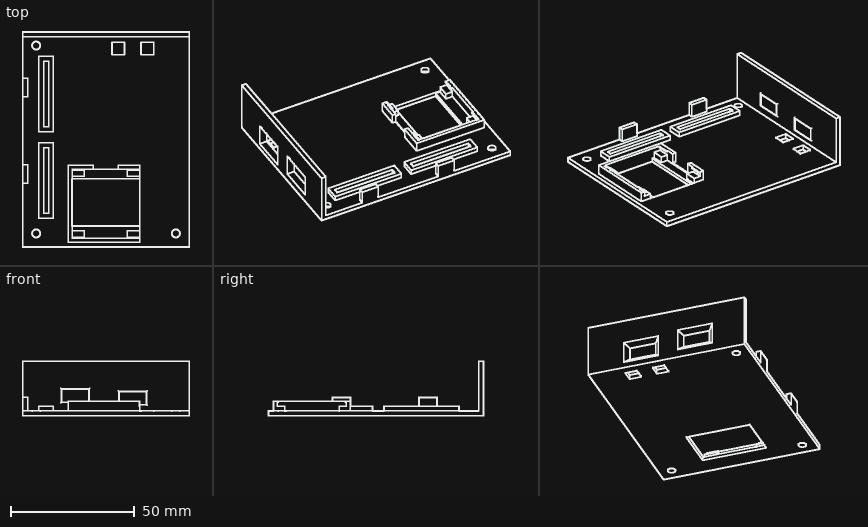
import cadquery as cq

PLATE_X = 67.5
PLATE_Y = 87.0
TOTAL_HEIGHT = 22.2
PLATE_THICKNESS = 2.0

WALL_THICKNESS = 2.0
WINDOW_WIDTH = 11.0
WINDOW_HEIGHT = 5.2
WINDOW_FLARE = WALL_THICKNESS
WINDOW_CORNERS = [(15.85, 5.6), (39.1, 4.6)]

SCREW_HOLE_DIAMETER = 3.2
SCREW_HOLE_INSET = 5.5
SQUARE_HOLE_SIZE = 5.0
SQUARE_HOLE_LEFT_EDGES = [36.2, 48.0]
SQUARE_HOLE_FRONT = 77.8

CONNECTOR_FRONT_EDGES = [11.65, 46.65]
CONNECTOR_LEFT = 6.5
CONNECTOR_WIDTH = 6.0
CONNECTOR_LENGTH = 30.5
CONNECTOR_HEIGHT = 2.0
CONNECTOR_RIM = 2.0
TAB_THICKNESS = 2.0
TAB_LENGTH = 7.4
TAB_HEIGHT = 5.5
TAB_OFFSET = 14.2

POCKET_LEFT = 20.0
POCKET_FRONT = 3.55
POCKET_WIDTH = 27.4
POCKET_LENGTH = 28.0
POCKET_DEPTH = 0.5
FRAME_THICKNESS = 1.6
FRAME_HEIGHT = 4.0
FRAME_GAP = 10.2
FRONT_LEDGE = 5.0
REAR_LEDGE = 4.0

SUPPORT_WIDTH = 5.0
SUPPORT_REACH = 3.0
SUPPORT_HEIGHT = 2.0
LIP_REACH = 0.5
LIP_HEIGHT = 0.4


def box(x, y, z, size_x, size_y, size_z):
    """Axis-aligned box given by its lower front left corner and its size."""
    return cq.Workplane("XY").box(size_x, size_y, size_z, centered=False).translate((x, y, z))


def make_plate():
    plate = box(0, 0, 0, PLATE_X, PLATE_Y, PLATE_THICKNESS)
    left = SCREW_HOLE_INSET
    right = PLATE_X - SCREW_HOLE_INSET
    front = SCREW_HOLE_INSET
    rear = PLATE_Y - SCREW_HOLE_INSET
    screw_holes = (
        cq.Workplane("XY")
        .pushPoints([(left, front), (right, front), (left, rear)])
        .circle(SCREW_HOLE_DIAMETER / 2)
        .extrude(PLATE_THICKNESS)
    )
    plate = plate.cut(screw_holes)
    for x in SQUARE_HOLE_LEFT_EDGES:
        plate = plate.cut(
            box(x, SQUARE_HOLE_FRONT, 0, SQUARE_HOLE_SIZE, SQUARE_HOLE_SIZE, PLATE_THICKNESS)
        )
    return plate


def make_window(x, z):
    """Cutter for a window that widens evenly on all sides from the front face of the wall to its rear."""
    front_y = PLATE_Y - WALL_THICKNESS
    center_x = x + WINDOW_WIDTH / 2
    center_z = z + WINDOW_HEIGHT / 2
    return (
        cq.Workplane("XZ", origin=(center_x, front_y, center_z))
        .rect(WINDOW_WIDTH, WINDOW_HEIGHT)
        .workplane(offset=-WALL_THICKNESS)
        .rect(WINDOW_WIDTH + 2 * WINDOW_FLARE, WINDOW_HEIGHT + 2 * WINDOW_FLARE)
        .loft(ruled=True)
    )


def make_rear_wall():
    wall = box(0, PLATE_Y - WALL_THICKNESS, 0, PLATE_X, WALL_THICKNESS, TOTAL_HEIGHT)
    for x, z in WINDOW_CORNERS:
        wall = wall.cut(make_window(x, z))
    return wall


def make_connector(front):
    """Block with a slot down to the plate surface."""
    block = box(
        CONNECTOR_LEFT, front, PLATE_THICKNESS, CONNECTOR_WIDTH, CONNECTOR_LENGTH, CONNECTOR_HEIGHT
    )
    slot = box(
        CONNECTOR_LEFT + CONNECTOR_RIM,
        front + CONNECTOR_RIM,
        PLATE_THICKNESS,
        CONNECTOR_WIDTH - 2 * CONNECTOR_RIM,
        CONNECTOR_LENGTH - 2 * CONNECTOR_RIM,
        CONNECTOR_HEIGHT,
    )
    return block.cut(slot)


def make_tab(connector_front):
    return box(0, connector_front + TAB_OFFSET, PLATE_THICKNESS, TAB_THICKNESS, TAB_LENGTH, TAB_HEIGHT)


def make_frame():
    """Low wall around the pocket, open on the right and interrupted at the rear."""
    outer = box(
        POCKET_LEFT - FRAME_THICKNESS,
        POCKET_FRONT - FRAME_THICKNESS,
        PLATE_THICKNESS,
        POCKET_WIDTH + FRAME_THICKNESS,
        POCKET_LENGTH + 2 * FRAME_THICKNESS,
        FRAME_HEIGHT,
    )
    inner = box(POCKET_LEFT, POCKET_FRONT, PLATE_THICKNESS, POCKET_WIDTH, POCKET_LENGTH, FRAME_HEIGHT)
    gap = box(
        POCKET_LEFT + (POCKET_WIDTH - FRAME_GAP) / 2,
        POCKET_FRONT + POCKET_LENGTH,
        PLATE_THICKNESS,
        FRAME_GAP,
        FRAME_THICKNESS,
        FRAME_HEIGHT,
    )
    return outer.cut(inner).cut(gap)


def cut_pocket(body):
    """Shallow pocket with a through opening that leaves a ledge at its front and rear."""
    floor = PLATE_THICKNESS - POCKET_DEPTH
    pocket = box(POCKET_LEFT, POCKET_FRONT, floor, POCKET_WIDTH, POCKET_LENGTH, POCKET_DEPTH)
    opening_length = POCKET_LENGTH - FRONT_LEDGE - REAR_LEDGE
    opening = box(
        POCKET_LEFT, POCKET_FRONT + FRONT_LEDGE, 0, POCKET_WIDTH, opening_length, PLATE_THICKNESS
    )
    return body.cut(pocket).cut(opening)


def make_corner_bars(z, reach, height):
    """Four bars in the pocket corners, reaching inwards from the front and rear sides."""
    bars = cq.Workplane("XY")
    for x in (POCKET_LEFT, POCKET_LEFT + POCKET_WIDTH - SUPPORT_WIDTH):
        for y in (POCKET_FRONT, POCKET_FRONT + POCKET_LENGTH - reach):
            bars = bars.add(box(x, y, z, SUPPORT_WIDTH, reach, height))
    return bars.combine()


body = make_plate().union(make_rear_wall())
for connector_front in CONNECTOR_FRONT_EDGES:
    body = body.union(make_connector(connector_front))
    body = body.union(make_tab(connector_front))
body = cut_pocket(body.union(make_frame()))
supports = make_corner_bars(PLATE_THICKNESS - POCKET_DEPTH, SUPPORT_REACH, POCKET_DEPTH + SUPPORT_HEIGHT)
lips = make_corner_bars(PLATE_THICKNESS + FRAME_HEIGHT - LIP_HEIGHT, LIP_REACH, LIP_HEIGHT)
result = body.union(supports).union(lips)